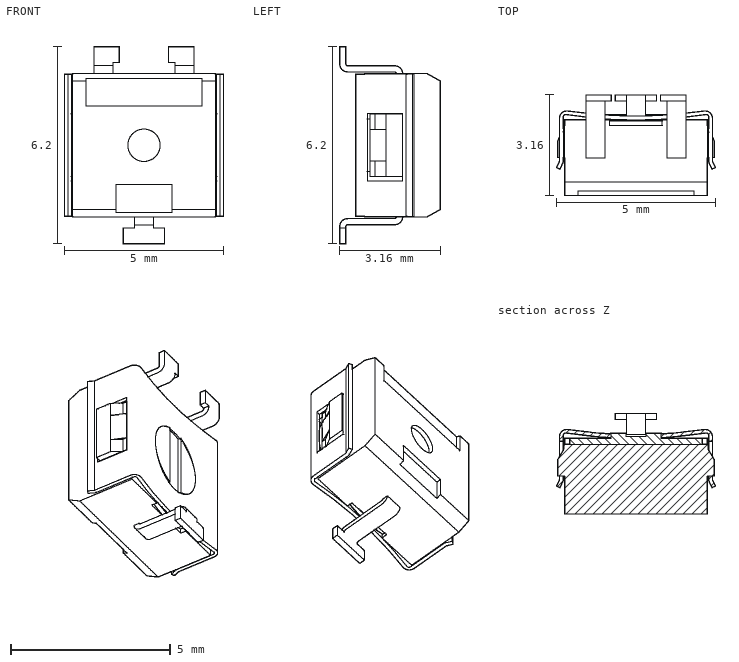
import cadquery as cq
import math

full_depth = 3.16
full_height = 6.2

body_width = 4.49
body_height = 4.515
side_x = body_width / 2
top_z = body_height / 2
body_depth = 2.39
bevel_height = 0.235
bevel_depth = 0.42

pocket_depth = 0.15
pocket_reach = 1.24
upper_pocket_width = 3.635
lower_pocket_width = 1.76
dimple_radius = 0.51
dimple_depth = 0.15

seat_depth = 0.185
seat_y = body_depth - seat_depth
slot_width = 1.65
rotor_radius = side_x
rotor_back = 2.375
rotor_chamfer = 0.025
hub_radius = 1.15
hub_back = 2.54
driver_slot_width = 0.62
driver_slot_depth = 0.1

catch_height = 1.97
catch_ridge_height = 0.99
catch_front = 1.19
catch_pad = 0.02
catch_tip_x = 2.46
catch_ramp_end = 1.71
catch_ramp_start = 2.05

lead_thickness = 0.2
lead_width = 0.61
lead_top = 2.5
lead_front = 1.18
lead_inner_radius = 0.055
lead_outer_radius = lead_inner_radius + lead_thickness
upper_lead_edge = 1.575
upper_lead_x = upper_lead_edge - lead_width / 2
foot_length = 0.51
upper_foot_width = 0.805
lower_foot_width = 1.3

clip_height = 4.465
clip_thickness = 0.125
clip_inner_x = 2.28
clip_outer_x = clip_inner_x + clip_thickness
clip_bow_radius = 14.445
clip_inner_radius = 0.075
clip_outer_radius = 0.235
lip_angle = math.radians(25)
lip_start_y = 1.08
lip_tip_x = 2.5
window_back = 2.29
window_top = 1.005
window_bottom = -1.12


def box(x_min, x_max, y_min, y_max, z_min, z_max):
    """Box between the given limits."""
    size = (x_max - x_min, y_max - y_min, z_max - z_min)
    return cq.Workplane("XY").box(*size, centered=False).translate((x_min, y_min, z_min))


def disc(radius, y_min, y_max):
    """Cylinder along Y, centred on the rotor axis."""
    return cq.Workplane("XZ", origin=(0, y_min, 0)).circle(radius).extrude(y_min - y_max)


def make_block():
    """Block with its upper and lower front edges bevelled."""
    face_half = top_z - bevel_height
    outline = [
        (0, -face_half),
        (bevel_depth, -top_z),
        (body_depth, -top_z),
        (body_depth, top_z),
        (bevel_depth, top_z),
        (0, face_half),
    ]
    return cq.Workplane("YZ").polyline(outline).close().extrude(side_x, both=True)


def cut_front_recesses(block):
    """Two pockets that run out through the bevels, and the central dimple."""
    upper_half = upper_pocket_width / 2
    lower_half = lower_pocket_width / 2
    upper_pocket = box(-upper_half, upper_half, 0, pocket_depth, pocket_reach, top_z)
    lower_pocket = box(-lower_half, lower_half, 0, pocket_depth, -top_z, -pocket_reach)
    dimple = disc(dimple_radius, 0, dimple_depth)
    return block.cut(upper_pocket).cut(lower_pocket).cut(dimple)


def cut_rotor_seat(block):
    """Round seat in the back, opened on all four sides by crossing slots."""
    slot_half = slot_width / 2
    seat = disc(rotor_radius, seat_y, body_depth)
    upright_slot = box(-slot_half, slot_half, seat_y, body_depth, -top_z, top_z)
    level_slot = box(-side_x, side_x, seat_y, body_depth, -slot_half, slot_half)
    return block.cut(seat).cut(upright_slot).cut(level_slot)


def make_catch():
    """Ramped catch on the +X side, with a longer ramp on its middle ridge."""
    pad_x = side_x + catch_pad
    base = [(side_x, catch_front), (catch_tip_x, catch_front), (catch_tip_x, catch_ramp_end)]
    full_outline = base + [(pad_x, catch_ramp_start), (pad_x, seat_y), (side_x, seat_y)]
    ridge_outline = base + [(pad_x, seat_y), (side_x, seat_y)]
    full = cq.Workplane("XY").polyline(full_outline).close().extrude(catch_height / 2, both=True)
    ridge = cq.Workplane("XY").polyline(ridge_outline).close().extrude(catch_ridge_height / 2, both=True)
    return full.union(ridge)


def make_lead(foot_min_x, foot_max_x):
    """Upper lead centred on X = 0: up out of the housing, back along Y, then up into its foot."""
    lead_bottom = lead_top - lead_thickness
    stub_back = lead_front + lead_thickness
    foot_front = full_depth - lead_thickness
    foot_top = full_height / 2
    foot_bottom = foot_top - foot_length
    arm_start = lead_front + lead_outer_radius
    arm_end = full_depth - lead_outer_radius
    bend_start = lead_top - lead_outer_radius
    bend_end = lead_bottom + lead_outer_radius
    outline = (
        cq.Workplane("YZ")
        .moveTo(lead_front, bend_start)
        .radiusArc((arm_start, lead_top), lead_outer_radius)
        .lineTo(arm_end, lead_top)
        .radiusArc((foot_front, bend_end), -lead_inner_radius)
        .lineTo(foot_front, foot_top)
        .lineTo(full_depth, foot_top)
        .lineTo(full_depth, bend_end)
        .radiusArc((arm_end, lead_bottom), lead_outer_radius)
        .lineTo(arm_start, lead_bottom)
        .radiusArc((stub_back, bend_start), -lead_inner_radius)
        .close()
    )
    strip = outline.extrude(lead_width / 2, both=True)
    foot = box(foot_min_x, foot_max_x, foot_front, full_depth, foot_bottom, foot_top)
    return strip.union(foot)


def make_housing():
    """Housing with its catches and its three moulded-in leads."""
    block = cut_rotor_seat(cut_front_recesses(make_block()))
    catch = make_catch()
    lead_half = lead_width / 2
    right_lead = make_lead(lead_half - upper_foot_width, lead_half).translate((upper_lead_x, 0, 0))
    for side_part in (catch, right_lead):
        block = block.union(side_part).union(side_part.mirror("YZ"))
    lower_lead = make_lead(-lower_foot_width / 2, lower_foot_width / 2).mirror("XY")
    return block.union(lower_lead)


def make_rotor():
    """Disc with a chamfered back rim and a slotted hub that passes through the clip."""
    rim = disc(rotor_radius, seat_y, rotor_back).faces(">Y").chamfer(rotor_chamfer)
    hub = disc(hub_radius, rotor_back, hub_back)
    slot_half = driver_slot_width / 2
    slot_floor = hub_back - driver_slot_depth
    driver_slot = box(-slot_half, slot_half, slot_floor, hub_back, -hub_radius, hub_radius)
    return rim.union(hub.cut(driver_slot))


def make_clip():
    """Bowed spring plate with two side legs, each ending in a flared lip."""
    bow_centre_y = rotor_back + clip_bow_radius
    outer_bow_radius = clip_bow_radius - clip_thickness
    inner_corner_y = bow_centre_y - math.sqrt(clip_bow_radius**2 - clip_inner_x**2)
    outer_corner_y = bow_centre_y - math.sqrt(outer_bow_radius**2 - clip_outer_x**2)
    lip_bend_y = lip_start_y - clip_thickness * math.tan(lip_angle / 2)
    lip_tip_y = lip_start_y - (lip_tip_x - clip_outer_x) / math.tan(lip_angle)
    lip_end_x = lip_tip_x - clip_thickness * math.cos(lip_angle)
    lip_end_y = lip_tip_y - clip_thickness * math.sin(lip_angle)
    plate = (
        cq.Workplane("XY")
        .moveTo(-clip_inner_x, inner_corner_y)
        .threePointArc((0, rotor_back), (clip_inner_x, inner_corner_y))
        .lineTo(clip_inner_x, lip_bend_y)
        .lineTo(lip_end_x, lip_end_y)
        .lineTo(lip_tip_x, lip_tip_y)
        .lineTo(clip_outer_x, lip_start_y)
        .lineTo(clip_outer_x, outer_corner_y)
        .threePointArc((0, rotor_back + clip_thickness), (-clip_outer_x, outer_corner_y))
        .lineTo(-clip_outer_x, lip_start_y)
        .lineTo(-lip_tip_x, lip_tip_y)
        .lineTo(-lip_end_x, lip_end_y)
        .lineTo(-clip_inner_x, lip_bend_y)
        .close()
        .extrude(clip_height / 2, both=True)
    )
    for corner_x, corner_y, radius in (
        (clip_inner_x, inner_corner_y, clip_inner_radius),
        (clip_outer_x, outer_corner_y, clip_outer_radius),
    ):
        for side in (-1, 1):
            corner = cq.selectors.NearestToPointSelector((side * corner_x, corner_y, 0))
            plate = plate.edges("|Z").edges(corner).fillet(radius)
    windows = box(-lip_tip_x, lip_tip_x, catch_front, window_back, window_bottom, window_top)
    hub_hole = disc(hub_radius, rotor_back, full_depth)
    return plate.cut(windows).cut(hub_hole)


housing = make_housing()
rotor = make_rotor()
clip = make_clip()

result = cq.Compound.makeCompound([housing.val(), rotor.val(), clip.val()])